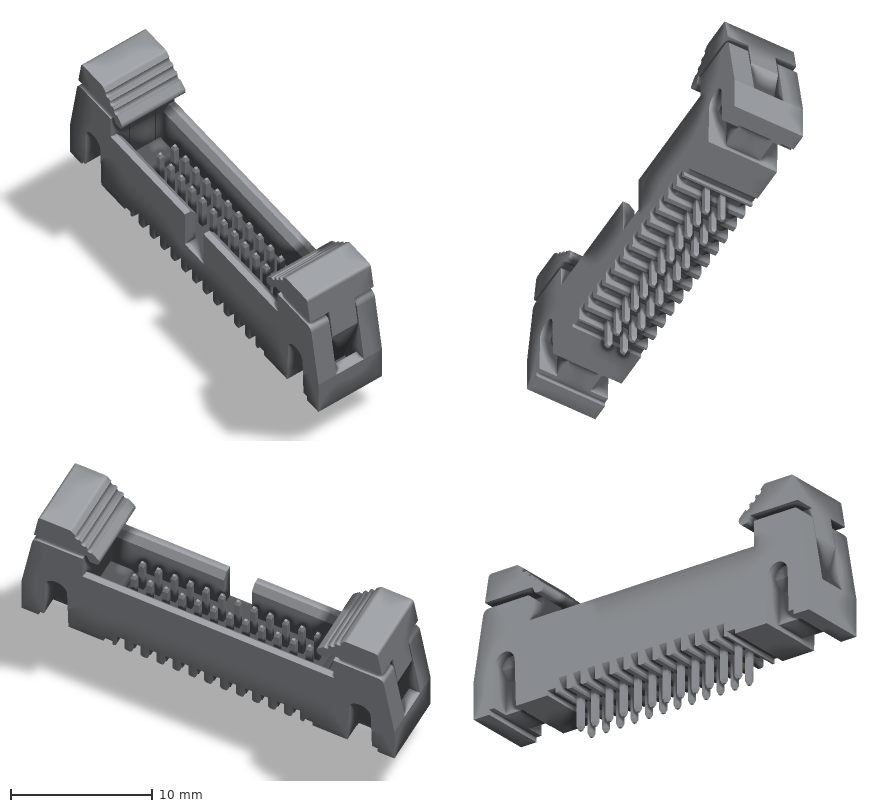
import cadquery as cq
import math


length = 29.75
width = 5.6
wall_top = 6.4
arm_top = 8.4
arm_inner_x = 10.0
slope_start_z = 3.0
lean_angle = 9.6
arm_fillet = 0.5

floor_z = 3.1
cavity_width = 3.7
lead_in_width = 0.45
lead_in_height = 0.55
key_width = 2.23

slot_width = 2.4
ledge_z = slope_start_z
ledge_inner_x = 13.98
pocket_z = 1.2
ramp_break_x = 7.82
ramp_end_x = 7.65
ramp_break_z = floor_z - (ramp_break_x - ramp_end_x)

pivot_x = 12.1
pivot_z = 3.65
pivot_diameter = 1.75
window_foot_half_width = 0.98
window_depth = 1.43

relief_height = 0.4
window_relief = (11.15, 13.5)
end_relief = (7.6, 8.33)

columns = 12
rows = 2
row_length = 13.98
pitch = row_length / (columns - 1)
pin_size = 0.42
pin_tip_size = 0.2
pin_taper = 0.3
pin_top = 5.9
pin_bottom = -2.35

groove_width = 0.68
groove_height = 0.48
groove_mouth_height = 1.1
groove_chamfer = 0.12

latch_top = 11.05
head_bottom = 8.92
neck_width = 2.2
neck_bottom = 6.55
undercut_angle = 17.6
foot_width = 3.1
foot_top = 3.27
foot_end_x = 8.03
foot_fillet = 0.45
head_outer_fillet = 0.27
head_grip_fillet = 0.35
boss_reach = 1.95
boss_ramp_z = 3.63

lip_nose = (8.65, 0.27)
lip_bottom = (8.92, 0.55)
lip_flat_end = (9.28, 0.55)
lip_corner = (9.45, 0.45)
lip_back = (9.52, 0.3)
lip_root_x = 9.67

grip_angle = 43.0
grip_start_x = 10.95
grip_end_x = 8.75
groove_count = 3
first_groove = 0.75
groove_spacing = 0.68
grip_radius = 0.223


def outer_x(z):
    """Distance of the leaning outer end face from the middle at height z."""
    return length / 2 - max(z - slope_start_z, 0.0) * math.tan(math.radians(lean_angle))


def box(x_range, y_range, z_range):
    return cq.Workplane("XY").box(
        x_range[1] - x_range[0],
        y_range[1] - y_range[0],
        z_range[1] - z_range[0],
        centered=False,
    ).translate((x_range[0], y_range[0], z_range[0]))


def prism(outline, depth):
    """Closed XZ outline made solid, centred on the middle plane y = 0."""
    return cq.Workplane("XZ").polyline(outline).close().extrude(depth / 2, both=True)


def both_ends(left_end):
    return left_end.union(left_end.mirror("YZ"))


def ramp_z(distance):
    """Height of the pocket ramp at a distance from the middle."""
    slope = (ramp_break_z - pocket_z) / (arm_inner_x - ramp_break_x)
    return ramp_break_z - slope * (distance - ramp_break_x)



def housing_block():
    outline = [
        (-length / 2, 0),
        (length / 2, 0),
        (length / 2, slope_start_z),
        (outer_x(arm_top), arm_top),
        (arm_inner_x, arm_top),
        (arm_inner_x, wall_top),
        (-arm_inner_x, wall_top),
        (-arm_inner_x, arm_top),
        (-outer_x(arm_top), arm_top),
        (-length / 2, slope_start_z),
    ]
    block = prism(outline, width)
    block = block.faces(">Z").edges("<X").fillet(arm_fillet)
    return block.faces(">Z").edges(">X").fillet(arm_fillet)


def cavity():
    half = cavity_width / 2
    outline = [
        (-half, floor_z),
        (half, floor_z),
        (half, wall_top - lead_in_height),
        (half + lead_in_width, wall_top),
        (-half - lead_in_width, wall_top),
        (-half, wall_top - lead_in_height),
    ]
    opening = cq.Workplane("YZ").polyline(outline).close().extrude(arm_inner_x, both=True)
    key_slot = box((-key_width / 2, key_width / 2), (-width / 2, 0), (floor_z, wall_top))
    return opening.union(key_slot)


def latch_slots():
    slot = prism(
        [
            (-length / 2, arm_top),
            (-length / 2, ledge_z),
            (-ledge_inner_x, ledge_z),
            (-ledge_inner_x, pocket_z),
            (-arm_inner_x, pocket_z),
            (-arm_inner_x, arm_top),
        ],
        slot_width,
    )
    ramp = prism(
        [
            (-arm_inner_x, floor_z),
            (-arm_inner_x, pocket_z),
            (-ramp_break_x, ramp_break_z),
            (-ramp_end_x, floor_z),
        ],
        cavity_width,
    )
    return both_ends(slot.union(ramp))


def pivot_windows():
    radius = pivot_diameter / 2
    window = (
        cq.Workplane("XZ", origin=(0, -width / 2, 0))
        .moveTo(-pivot_x - window_foot_half_width, 0)
        .lineTo(-pivot_x - radius, pivot_z)
        .threePointArc((-pivot_x, pivot_z + radius), (-pivot_x + radius, pivot_z))
        .lineTo(-pivot_x + window_foot_half_width, 0)
        .close()
        .extrude(-window_depth)
    )
    pivot_hole = (
        cq.Workplane("XZ").center(-pivot_x, pivot_z).circle(radius).extrude(width / 2 - window_depth, both=True)
    )
    return both_ends(window.union(window.mirror("XZ")).union(pivot_hole))


def underside_reliefs():
    reliefs = cq.Workplane("XY")
    for near, far in (window_relief, end_relief):
        reliefs = reliefs.union(box((-far, -near), (-width / 2, width / 2), (0, relief_height)))
    return both_ends(reliefs)


def column_positions():
    return [(i - (columns - 1) / 2) * pitch for i in range(columns)]


def row_positions():
    return [(i - (rows - 1) / 2) * pitch for i in range(rows)]


def underside_groove():
    rise = groove_mouth_height - groove_height
    side = width / 2
    roof = [
        (-side, 0),
        (-side, groove_mouth_height),
        (-side + rise, groove_height),
        (side - rise, groove_height),
        (side, groove_mouth_height),
        (side, 0),
    ]
    groove = cq.Workplane("YZ").polyline(roof).close().extrude(groove_width / 2, both=True)
    half = groove_width / 2
    flare = prism(
        [(-half - groove_chamfer, 0), (-half, groove_chamfer), (half, groove_chamfer), (half + groove_chamfer, 0)],
        width,
    )
    return groove.union(flare)


def pin():
    shank = (
        cq.Workplane("XY", origin=(0, 0, pin_bottom + pin_taper))
        .rect(pin_size, pin_size)
        .extrude(pin_top - pin_bottom - 2 * pin_taper)
    )
    taper_angle = math.degrees(math.atan((pin_size - pin_tip_size) / 2 / pin_taper))
    upper_tip = shank.faces(">Z").wires().toPending().extrude(pin_taper, taper=taper_angle, combine=False)
    lower_tip = shank.faces("<Z").wires().toPending().extrude(-pin_taper, taper=taper_angle, combine=False)
    return shank.union(upper_tip).union(lower_tip)


def make_housing():
    housing = housing_block().cut(cavity()).cut(latch_slots()).cut(pivot_windows()).cut(underside_reliefs())
    for x in column_positions():
        housing = housing.cut(underside_groove().translate((x, 0, 0)))
    for x in column_positions():
        for y in row_positions():
            housing = housing.union(pin().translate((x, y, 0)))
    return housing



def grip_point(distance):
    """Point on the grip slope at a distance down from the head top."""
    angle = math.radians(grip_angle)
    return -grip_start_x + distance * math.cos(angle), latch_top - distance * math.sin(angle)


def lip_point(offsets):
    """Point on the lip outline, from its distance from the middle and its drop below the head bottom."""
    distance, drop = offsets
    return -distance, head_bottom - drop


def latch_head():
    grip_length = (grip_start_x - grip_end_x) / math.cos(math.radians(grip_angle))
    head = (
        cq.Workplane("XZ")
        .moveTo(-outer_x(head_bottom), head_bottom)
        .lineTo(-outer_x(latch_top), latch_top)
        .lineTo(-grip_start_x, latch_top)
        .lineTo(*grip_point(grip_length))
        .threePointArc(lip_point(lip_nose), lip_point(lip_bottom))
        .lineTo(*lip_point(lip_flat_end))
        .threePointArc(lip_point(lip_corner), lip_point(lip_back))
        .lineTo(-lip_root_x, head_bottom)
        .close()
        .extrude(width / 2, both=True)
    )
    head = head.faces(">Z").edges("<X").fillet(head_outer_fillet)
    head = head.faces(">Z").edges(">X").fillet(head_grip_fillet)
    for i in range(groove_count):
        x, z = grip_point(first_groove + i * groove_spacing)
        head = head.cut(cq.Workplane("XZ").center(x, z).circle(grip_radius).extrude(width / 2, both=True))
    return head


def latch_neck():
    undercut_run = (neck_bottom - pocket_z) * math.tan(math.radians(undercut_angle))
    return prism(
        [
            (-outer_x(head_bottom), head_bottom),
            (-outer_x(neck_bottom), neck_bottom),
            (-outer_x(neck_bottom) + undercut_run, pocket_z),
            (-arm_inner_x, pocket_z),
            (-arm_inner_x, head_bottom),
        ],
        neck_width,
    )


def latch_foot():
    foot = prism(
        [
            (-arm_inner_x, pocket_z),
            (-foot_end_x, ramp_z(foot_end_x)),
            (-foot_end_x, foot_top),
            (-arm_inner_x, foot_top),
        ],
        foot_width,
    )
    return foot.faces(">Z").edges(">X").fillet(foot_fillet)


def pivot_bosses():
    radius = pivot_diameter / 2
    bosses = cq.Workplane("XZ").center(-pivot_x, pivot_z).circle(radius).extrude(boss_reach, both=True)
    wall_face = width / 2 - window_depth
    bevel = (
        cq.Workplane("YZ", origin=(-pivot_x, 0, 0))
        .polyline([(-boss_reach, boss_ramp_z), (-wall_face, pivot_z - radius), (-boss_reach, pivot_z - radius)])
        .close()
        .extrude(radius, both=True)
    )
    return bosses.cut(bevel).cut(bevel.mirror("XZ"))


def make_latch():
    return latch_head().union(latch_neck()).union(latch_foot()).union(pivot_bosses())


housing = make_housing()
latch = make_latch()
latches = [latch.val(), latch.mirror("YZ").val()]

result = cq.Compound.makeCompound([housing.val(), *latches])